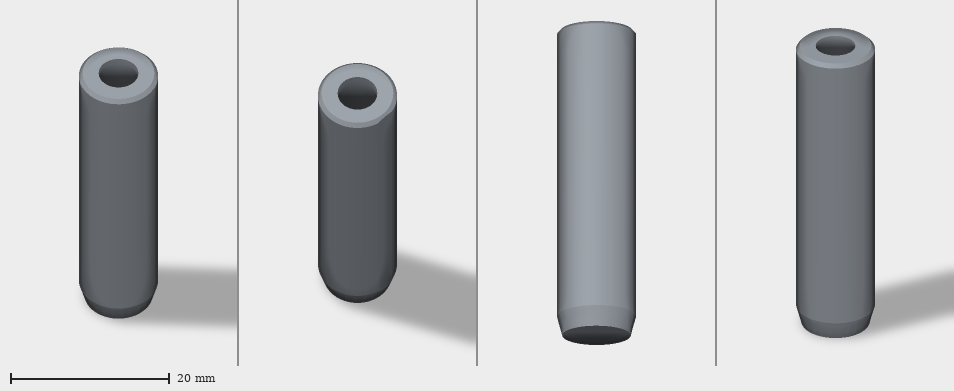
import cadquery as cq
import math

length = 40.0
radius = length / 8
top_chamfer = 0.5
lead_height = 2.5
lead_angle = 15.0
hole_radius = radius / 2
hole_depth = 16.0
drill_tip_angle = 118.0
flat_depth = 0.15


def pin_body():
    """Revolved pin: tapered lead-in at the bottom, chamfer at the top."""
    tip_radius = radius - lead_height * math.tan(math.radians(lead_angle))
    return (
        cq.Workplane("XZ")
        .lineTo(tip_radius, 0)
        .lineTo(radius, lead_height)
        .lineTo(radius, length - top_chamfer)
        .lineTo(radius - top_chamfer, length)
        .lineTo(0, length)
        .close()
        .revolve(360, (0, 0), (0, 1))
    )


def blind_hole():
    """Drilled hole from the top face, ending in a conical drill tip."""
    hole_bottom = length - hole_depth
    tip_depth = hole_radius / math.tan(math.radians(drill_tip_angle / 2))
    return (
        cq.Workplane("XZ")
        .moveTo(0, hole_bottom - tip_depth)
        .lineTo(hole_radius, hole_bottom)
        .lineTo(hole_radius, length)
        .lineTo(0, length)
        .close()
        .revolve(360, (0, 0), (0, 1))
    )


def vent_flat():
    """Block whose near face trims the full-length flat on the +Y side."""
    return (
        cq.Workplane("XY")
        .box(2 * radius, radius, length, centered=(True, False, False))
        .translate((0, radius - flat_depth, 0))
    )


result = pin_body().cut(blind_hole()).cut(vent_flat())